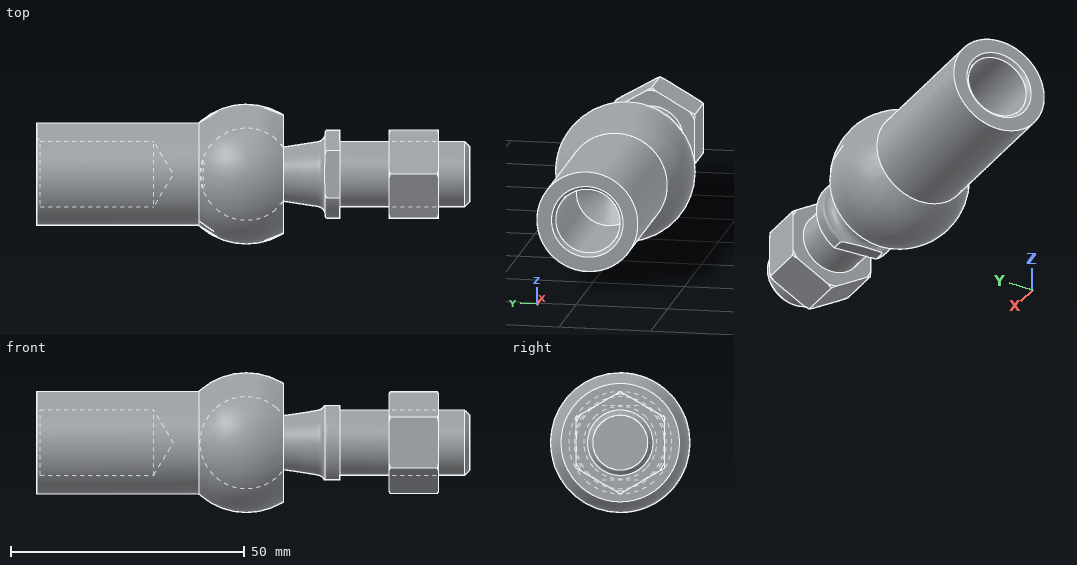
import cadquery as cq
import math

total_length = 93.0

sleeve_diameter = 22.0
head_diameter = 30.0
head_center_x = 45.0
head_face_x = 53.0
bore_diameter = 14.0
bore_depth = 25.1
bore_mouth_diameter = 15.6
drill_tip_angle = 118.0

ball_diameter = 19.8
shank_diameter = 14.0
shank_end_chamfer = 1.1
neck_end_x = 60.4
neck_end_radius = 7.0
collar_diameter = 19.0
collar_flats = 16.0
collar_end_x = 65.1
collar_rim_radius = 0.6
neck_fillet_radius = 1.9

nut_start_x = 75.6
nut_thickness = 10.7
nut_across_flats = 19.0
nut_face_diameter = 20.8
nut_chamfer_angle = 30.0

socket_mouth_radius = math.sqrt((ball_diameter / 2) ** 2 - (head_face_x - head_center_x) ** 2)


def revolve_about_x(profile):
    """Turn a closed profile, drawn as (x, radius), around the X axis."""
    return profile.close().revolve(360, (0, 0, 0), (1, 0, 0))


def sphere_at_head(diameter):
    return cq.Workplane("XY").sphere(diameter / 2).translate((head_center_x, 0, 0))


def make_threaded_bore():
    """Blind bore with a countersunk mouth and a conical drill tip."""
    bore_radius = bore_diameter / 2
    mouth_radius = bore_mouth_diameter / 2
    tip_depth = bore_radius / math.tan(math.radians(drill_tip_angle / 2))
    profile = (
        cq.Workplane("XY")
        .lineTo(0, mouth_radius)
        .lineTo(mouth_radius - bore_radius, bore_radius)
        .lineTo(bore_depth, bore_radius)
        .lineTo(bore_depth + tip_depth, 0)
    )
    return revolve_about_x(profile)


def make_housing():
    sleeve = cq.Workplane("YZ").circle(sleeve_diameter / 2).extrude(head_center_x)
    head_envelope = cq.Workplane("YZ").circle(head_diameter).extrude(head_face_x)
    head = sphere_at_head(head_diameter).intersect(head_envelope)
    socket = sphere_at_head(ball_diameter)
    return sleeve.union(head).cut(socket).cut(make_threaded_bore())


def make_neck_and_shank():
    """Turned part of the stud: conical neck, collar and shank."""
    neck_slope = math.atan2(neck_end_radius - socket_mouth_radius, neck_end_x - head_face_x)

    fillet_center_x = neck_end_x - neck_fillet_radius * math.sin(neck_slope)
    fillet_center_radius = neck_end_radius + neck_fillet_radius * math.cos(neck_slope)
    fillet_mid_angle = neck_slope / 2 - math.pi / 4
    fillet_middle = (
        fillet_center_x + neck_fillet_radius * math.cos(fillet_mid_angle),
        fillet_center_radius + neck_fillet_radius * math.sin(fillet_mid_angle),
    )
    collar_start_x = fillet_center_x + neck_fillet_radius

    collar_radius = collar_diameter / 2
    rim_start_radius = collar_radius - collar_rim_radius
    rim_sagitta = collar_rim_radius * (1 - math.sqrt(0.5))
    rim_middle = (collar_start_x + rim_sagitta, collar_radius - rim_sagitta)

    shank_radius = shank_diameter / 2
    profile = (
        cq.Workplane("XY")
        .moveTo(head_center_x, 0)
        .lineTo(head_center_x, socket_mouth_radius)
        .lineTo(head_face_x, socket_mouth_radius)
        .lineTo(neck_end_x, neck_end_radius)
        .threePointArc(fillet_middle, (collar_start_x, fillet_center_radius))
        .lineTo(collar_start_x, rim_start_radius)
        .threePointArc(rim_middle, (collar_start_x + collar_rim_radius, collar_radius))
        .lineTo(collar_end_x, collar_radius)
        .lineTo(collar_end_x, shank_radius)
        .lineTo(total_length - shank_end_chamfer, shank_radius)
        .lineTo(total_length, shank_radius - shank_end_chamfer)
        .lineTo(total_length, 0)
    )
    return revolve_about_x(profile)


def make_ball_stud():
    flats_envelope = (
        cq.Workplane("XY")
        .box(total_length, collar_diameter, collar_flats)
        .translate((total_length / 2, 0, 0))
    )
    turned = make_neck_and_shank().intersect(flats_envelope)
    return turned.union(sphere_at_head(ball_diameter))


def make_nut():
    """Hex nut with two corners on the Z axis and both faces chamfered."""
    corner_radius = nut_across_flats / 2 / math.cos(math.pi / 6)
    corners = []
    for index in range(6):
        angle = math.pi / 2 + index * math.pi / 3
        corners.append((corner_radius * math.cos(angle), corner_radius * math.sin(angle)))
    hexagon = (
        cq.Workplane("YZ", origin=(nut_start_x, 0, 0))
        .polyline(corners)
        .close()
        .extrude(nut_thickness)
    )

    face_radius = nut_face_diameter / 2
    half_thickness = nut_thickness / 2
    apex_radius = face_radius + half_thickness / math.tan(math.radians(nut_chamfer_angle))
    nut_end_x = nut_start_x + nut_thickness
    chamfer_profile = (
        cq.Workplane("XY")
        .moveTo(nut_start_x, 0)
        .lineTo(nut_start_x, face_radius)
        .lineTo(nut_start_x + half_thickness, apex_radius)
        .lineTo(nut_end_x, face_radius)
        .lineTo(nut_end_x, 0)
    )
    thread_hole = cq.Workplane("YZ").circle(shank_diameter / 2).extrude(total_length)
    return hexagon.intersect(revolve_about_x(chamfer_profile)).cut(thread_hole)


housing = make_housing().solids()
ball_stud = make_ball_stud().solids()
nut = make_nut().solids()

result = cq.Compound.makeCompound([housing.val(), ball_stud.val(), nut.val()])